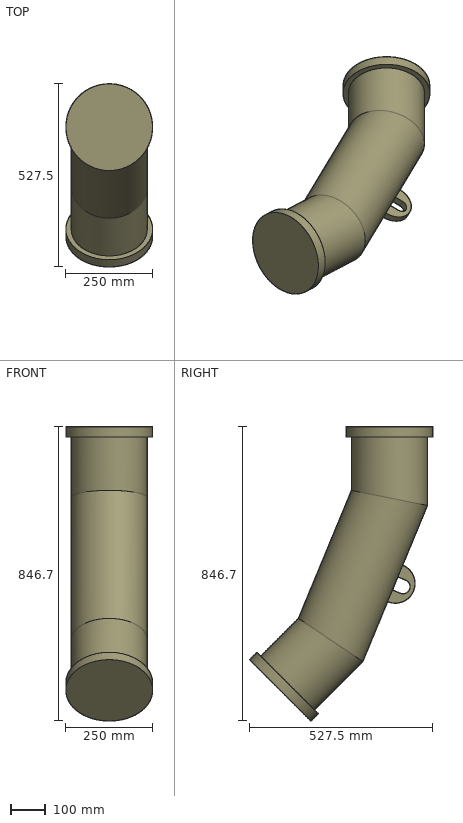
import cadquery as cq
import math

PIPE_DIAMETER = 219.1
FLANGE_DIAMETER = 250.0
FLANGE_THICKNESS = 30.0
END_LEG_LENGTH = 205.0
MIDDLE_LEG_LENGTH = 442.0
BEND_ANGLE = 22.5

LUG_RADIUS = 57.0
LUG_THICKNESS = 20.0
LUG_SLOT_WIDTH = 40.0
LUG_SLOT_REACH = 44.0

PIPE_RADIUS = PIPE_DIAMETER / 2
MITRE_OVERRUN = PIPE_RADIUS * math.tan(math.radians(BEND_ANGLE / 2))


def axis_direction(angle):
    """Downward direction in the YZ plane, tilted by angle towards -Y."""
    tilt = math.radians(angle)
    return cq.Vector(0, -math.sin(tilt), -math.cos(tilt))


def rod(start, direction, length, diameter):
    """Solid round bar that runs from start along direction."""
    return cq.Workplane(cq.Solid.makeCylinder(diameter / 2, length, start, direction))


def keep_beyond(body, point, direction):
    """Part of body on the side of the plane at point that direction faces."""
    plane = cq.Plane(origin=point, xDir=(1, 0, 0), normal=direction)
    half_space_size = 2 * (MIDDLE_LEG_LENGTH + PIPE_DIAMETER)
    half_space = cq.Workplane(plane).rect(half_space_size, half_space_size).extrude(half_space_size)
    return body.intersect(half_space)


top_direction = axis_direction(0)
middle_direction = axis_direction(BEND_ANGLE)
bottom_direction = axis_direction(2 * BEND_ANGLE)
upper_mitre = axis_direction(BEND_ANGLE / 2)
lower_mitre = axis_direction(3 * BEND_ANGLE / 2)

top_end = cq.Vector(0, 0, 0)
upper_joint = top_end + top_direction * END_LEG_LENGTH
lower_joint = upper_joint + middle_direction * MIDDLE_LEG_LENGTH
bottom_end = lower_joint + bottom_direction * END_LEG_LENGTH


def make_end_leg(end, inward, mitre_inward):
    """Flanged straight leg from a pipe end to its mitre joint."""
    joint = end + inward * END_LEG_LENGTH
    pipe = rod(end, inward, END_LEG_LENGTH + MITRE_OVERRUN, PIPE_DIAMETER)
    flange = rod(end, inward, FLANGE_THICKNESS, FLANGE_DIAMETER)
    return keep_beyond(pipe, joint, mitre_inward * -1).union(flange)


def make_middle_leg():
    """Inclined leg, mitred at both ends."""
    start = upper_joint - middle_direction * MITRE_OVERRUN
    pipe = rod(start, middle_direction, MIDDLE_LEG_LENGTH + 2 * MITRE_OVERRUN, PIPE_DIAMETER)
    pipe = keep_beyond(pipe, upper_joint, upper_mitre)
    return keep_beyond(pipe, lower_joint, lower_mitre * -1)


def make_lug():
    """Round slotted plate, centred on the back surface of the middle leg."""
    outward = cq.Vector(1, 0, 0).cross(middle_direction)
    leg_centre = (upper_joint + lower_joint) * 0.5
    plane = cq.Plane(
        origin=leg_centre + outward * PIPE_RADIUS,
        xDir=outward,
        normal=(1, 0, 0),
    )
    plate = cq.Workplane(plane).circle(LUG_RADIUS).extrude(LUG_THICKNESS / 2, both=True)
    slot = (
        cq.Workplane(plane)
        .slot2D(2 * LUG_SLOT_REACH, LUG_SLOT_WIDTH)
        .extrude(LUG_THICKNESS / 2, both=True)
    )
    return plate.cut(slot)


top_leg = make_end_leg(top_end, top_direction, upper_mitre)
bottom_leg = make_end_leg(bottom_end, bottom_direction * -1, lower_mitre * -1)

result = top_leg.union(make_middle_leg()).union(bottom_leg).union(make_lug())